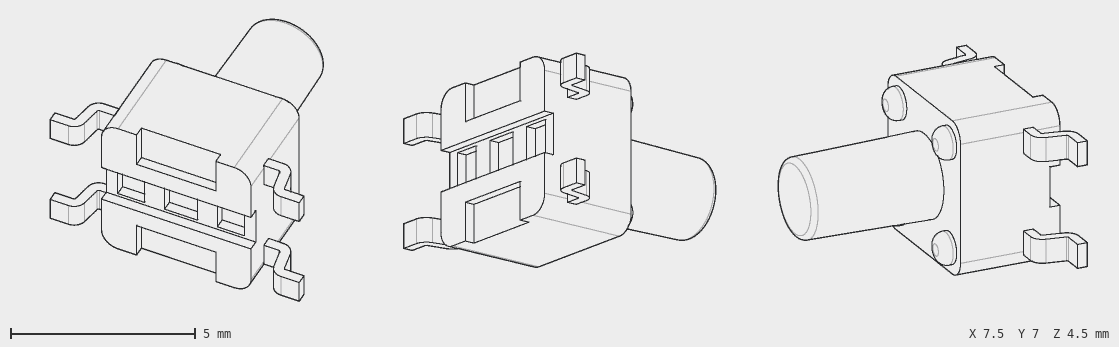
import cadquery as cq
import math


body_side = 4.5
body_height = 3.0
corner_radius = 0.5

recess_depth = 0.3
channel_width = 1.18
notch_width = 2.385
notch_reach = 1.1
pocket_height = 0.99
pocket_depth = 0.3
center_pocket_width = 0.99
side_pocket_width = 0.81
side_pocket_margin = 0.345

button_height = 3.9
button_base_radius = 1.22
button_tip_radius = 1.15
button_rounding = 0.15

rivet_radius = 0.47
rivet_height = 0.405
rivet_rounding = 0.3
rivet_offset = 1.545

span = 7.5
lead_width = 0.705
lead_thickness = 0.3
lead_offset = 1.49
lead_drop = 0.1
lead_top = 1.1
lead_embed = 0.375
foot_length = 0.555
bend_inner_radius = 0.05
bend_outer_radius = bend_inner_radius + lead_thickness
leg_lean = 10.0


def box_on(bottom, depth, width, height, x=0.0, z=0.0):
    """Box rising in +Y from the given level, centered on (x, z)."""
    return (
        cq.Workplane("XY")
        .box(width, depth, height)
        .translate((x, bottom + depth / 2, z))
    )


def polar(center, radius, degrees):
    """Point on a circle around the given center."""
    angle = math.radians(degrees)
    return (center[0] + radius * math.cos(angle), center[1] + radius * math.sin(angle))


def make_housing():
    housing = box_on(0, body_height, body_side, body_side)
    housing = housing.edges("|Y").fillet(corner_radius)

    housing = housing.cut(box_on(0, recess_depth, body_side, channel_width))
    notch_z = (body_side - notch_reach) / 2
    for side in (-1, 1):
        housing = housing.cut(box_on(0, recess_depth, notch_width, notch_reach, z=side * notch_z))

    side_pocket_x = (body_side - side_pocket_width) / 2 - side_pocket_margin
    pockets = (
        (-side_pocket_x, side_pocket_width),
        (0, center_pocket_width),
        (side_pocket_x, side_pocket_width),
    )
    for x, width in pockets:
        housing = housing.cut(box_on(recess_depth, pocket_depth, width, pocket_height, x=x))
    return housing


def make_button():
    """Tapered round button with a rounded tip."""
    tip = body_height + button_height
    button = (
        cq.Workplane("XY")
        .moveTo(0, body_height)
        .lineTo(button_base_radius, body_height)
        .lineTo(button_tip_radius, tip)
        .lineTo(0, tip)
        .close()
        .revolve(360, (0, 0, 0), (0, 1, 0))
    )
    return button.faces(">Y").edges().fillet(button_rounding)


def make_rivet(x, z):
    rivet = (
        cq.Workplane("XZ", origin=(x, body_height, z))
        .circle(rivet_radius)
        .extrude(-rivet_height)
    )
    return rivet.faces(">Y").edges().fillet(rivet_rounding)


def make_lead():
    """Gull-wing terminal on the +X side, centered on Z = 0."""
    start_x = body_side / 2 - lead_embed
    tip_x = span / 2
    shoulder_bottom = lead_top - lead_thickness
    foot_top = lead_thickness - lead_drop

    lean = math.radians(leg_lean)
    upper_y = shoulder_bottom - bend_inner_radius
    lower_y = foot_top + bend_inner_radius
    bend_radii = bend_inner_radius + bend_outer_radius
    bend_spacing = (bend_radii + (upper_y - lower_y) * math.sin(lean)) / math.cos(lean)
    lower_bend = (tip_x - foot_length, lower_y)
    upper_bend = (lower_bend[0] - bend_spacing, upper_y)

    upper_angles = (90, (90 + leg_lean) / 2, leg_lean)
    lower_angles = (180 + leg_lean, 180 + (90 + leg_lean) / 2, 270)

    upper_outer = [polar(upper_bend, bend_outer_radius, angle) for angle in upper_angles]
    upper_inner = [polar(upper_bend, bend_inner_radius, angle) for angle in upper_angles]
    lower_outer = [polar(lower_bend, bend_outer_radius, angle) for angle in lower_angles]
    lower_inner = [polar(lower_bend, bend_inner_radius, angle) for angle in lower_angles]
    return (
        cq.Workplane("XY")
        .moveTo(start_x, lead_top)
        .lineTo(*upper_outer[0])
        .threePointArc(*upper_outer[1:])
        .lineTo(*lower_inner[0])
        .threePointArc(*lower_inner[1:])
        .lineTo(tip_x, foot_top)
        .lineTo(tip_x, -lead_drop)
        .lineTo(*lower_outer[2])
        .threePointArc(lower_outer[1], lower_outer[0])
        .lineTo(*upper_inner[2])
        .threePointArc(upper_inner[1], upper_inner[0])
        .lineTo(start_x, shoulder_bottom)
        .close()
        .extrude(lead_width / 2, both=True)
    )


result = make_housing().union(make_button())

right_lead = make_lead()
left_lead = right_lead.mirror("YZ")
for z_side in (-1, 1):
    for x_side, lead in ((-1, left_lead), (1, right_lead)):
        result = result.union(lead.translate((0, 0, z_side * lead_offset)))
        result = result.union(make_rivet(x_side * rivet_offset, z_side * rivet_offset))